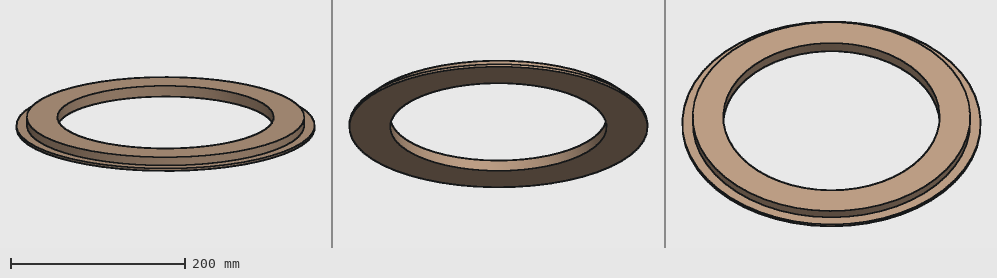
import cadquery as cq

flange_diameter = 342.3
ring_diameter = 318.5
bore_diameter = 248.0
total_height = 13.0
flange_thickness = 3.0

flange = cq.Workplane("XY").circle(flange_diameter / 2).extrude(flange_thickness)
raised_ring = cq.Workplane("XY").circle(ring_diameter / 2).extrude(total_height)
bore = cq.Workplane("XY").circle(bore_diameter / 2).extrude(total_height)

result = flange.union(raised_ring).cut(bore)